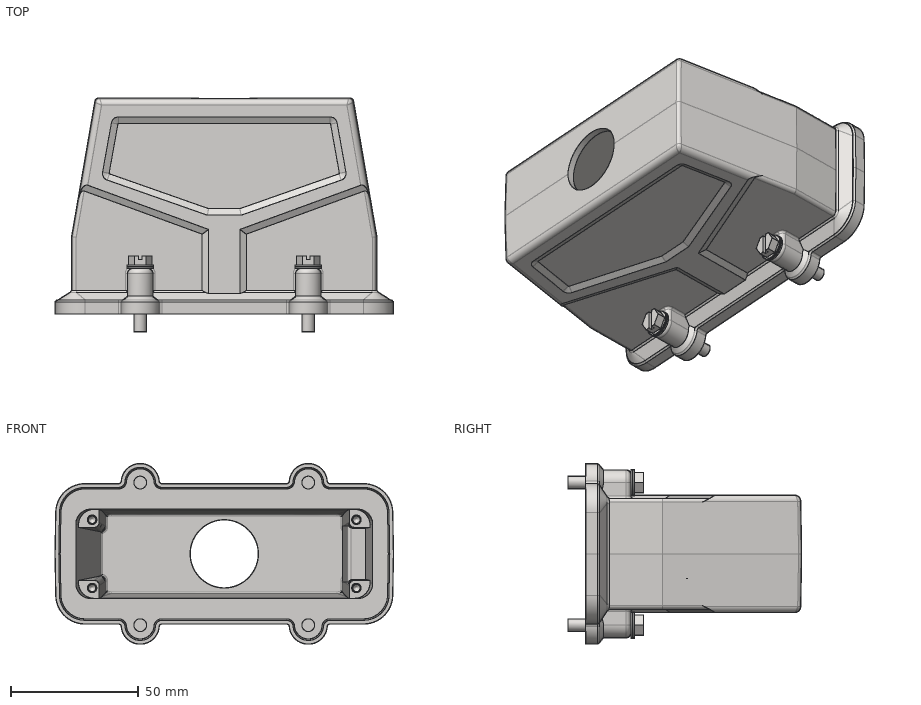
import cadquery as cq
import math


back_y = 84.9
draft = 1.0
base_half_x = 60.0
back_half_x = 50.6
bend_y = 30.3

panel_half_z = 23.1
relief_depth = 1.3
relief_half_z = panel_half_z - relief_depth
step_run = 2.6
step_taper = math.degrees(math.atan(step_run / relief_depth))
panel_edge_radius = 2.5
relief_edge_radius = 1.5
back_corner_radius = 1.5

chevron_angle = 20.1
leg_half_x = 6.1
leg_top_y = 33.2

pocket_top_y = 77.4
pocket_top_half_x = 43.9
pocket_side_y = 53.4
pocket_side_half_x = 48.2
pocket_bottom_half_x = 6.6
pocket_bottom_y = 38.8
pocket_corner_radius = 2.8

flange_half_x = 66.5
flange_half_z = 27.6
flange_corner_x = flange_half_x - flange_half_z * math.tan(math.radians(draft))
flange_radius = 11.5
flange_wall_y = 4.7
flange_edge_y = 5.5
flange_edge_inset = 0.6
skirt_top_y = 8.5
skirt_top_run = 0.6
skirt_top_radius = 2.5
fairing_top_y = 9.3
fairing_top_radius = 2.2

recess_depth = 3.0
lip_width = 1.5
recess_draft = 11.0

screw_x = 33.0
screw_z = 28.0
lug_radius = 7.5
neck_radius = 1.0
lug_cone_y = 7.0
boss_radius = 5.0
boss_foot_radius = 0.85
boss_top_y = 17.8
boss_edge_radius = 1.9

screw_diameter = 5.0
screw_tip_y = -7.0
washer_radius = 5.2
washer_top_y = 19.3
washer_gap_radius = 4.8
washer_thickness = 0.6
head_top_y = 22.8
head_across_flats = 8.0
slot_width = 1.3
slot_depth = 1.4

mouth_half_x = 58.3
mouth_half_z = 17.6
mouth_radius = 6.0
cavity_bend_y = 31.0
cavity_bend_half_z = 17.1
cavity_floor_y = 82.0
cavity_floor_half_x = 48.3
cavity_floor_half_z = 15.5
cavity_floor_radius = 4.0
cavity_floor_fillet = 0.6
cavity_bend_part = (cavity_bend_y - recess_depth) / (cavity_floor_y - recess_depth)
cavity_bend_half_x = mouth_half_x + cavity_bend_part * (cavity_floor_half_x - mouth_half_x)
cable_hole_diameter = 26.7

post_face_y = 11.5
post_face_x = 49.1
post_face_z = 10.4
post_root_x = 46.4
post_root_z = 8.6
post_outer_x = 62.0
post_outer_z = 20.0
post_radius = 2.0
post_hole_x = 51.9
post_hole_z = 13.4
post_hole_diameter = 2.9
post_hole_depth = 10.0
post_countersink = 0.4

pad_face_y = 26.0
pad_inner_x = 48.4
pad_half_z = 11.0
pad_edge_radius = 1.4

signs = (-1, 1)
screw_places = [(sx * screw_x, sz * screw_z) for sx in signs for sz in signs]
pick = 0.1


def xz_plane(y):
    """Plane at height y, local x along X, local y along Z; negative extrusions run toward +Y."""
    return cq.Workplane("XZ", origin=(0, y, 0))


def rounded_rect(half_x, half_z, radius, center=(0, 0), height=0):
    outline = cq.Sketch().rect(2 * half_x, 2 * half_z).vertices().fillet(radius)
    return outline.moved(cq.Location(cq.Vector(*center, height)))


def loft_rects(y0, first, y1, last):
    """Loft between two rounded rectangles, each given as (half x, half z, radius[, center])."""
    return xz_plane(y0).placeSketch(rounded_rect(*first), rounded_rect(*last, height=y0 - y1)).loft()


def rod(y0, y1, radius, center):
    return xz_plane(y0).center(*center).circle(radius).extrude(y0 - y1)


def hood_half(half_z, edge_radius):
    """Upper half of the drafted hood, with its outline rounded at the +Z face."""
    half = (
        cq.Workplane("XY")
        .polyline([
            (-base_half_x, 0), (-base_half_x, bend_y), (-back_half_x, back_y),
            (back_half_x, back_y), (base_half_x, bend_y), (base_half_x, 0),
        ])
        .close()
        .extrude(half_z, taper=draft)
    )
    corners = cq.selectors.BoxSelector(
        (-base_half_x, back_y - 2, 0), (base_half_x, back_y + 2, half_z - 1)
    )
    half = half.edges(corners).edges("not(#Z)").fillet(back_corner_radius)
    return half.faces(">Z").edges().fillet(edge_radius)


def panel_mask():
    """Everything above the chevron edges plus the centre leg, with sloped sides."""
    far_x = 80.0
    far_y = 110.0
    mask_depth = 3.0
    far_chevron_y = leg_top_y + (far_x - leg_half_x) * math.tan(math.radians(chevron_angle))
    return (
        cq.Workplane("XY", origin=(0, 0, panel_half_z))
        .polyline([
            (-far_x, far_y), (-far_x, far_chevron_y), (-leg_half_x, leg_top_y), (-leg_half_x, 0),
            (leg_half_x, 0), (leg_half_x, leg_top_y), (far_x, far_chevron_y), (far_x, far_y),
        ])
        .close()
        .extrude(-mask_depth, taper=-step_taper)
    )


def panel_pocket():
    pocket = (
        cq.Sketch()
        .polygon([
            (-pocket_top_half_x, pocket_top_y), (pocket_top_half_x, pocket_top_y),
            (pocket_side_half_x, pocket_side_y), (pocket_bottom_half_x, pocket_bottom_y),
            (-pocket_bottom_half_x, pocket_bottom_y), (-pocket_side_half_x, pocket_side_y),
            (-pocket_top_half_x, pocket_top_y),
        ])
        .vertices("<X or >X or >Y")
        .fillet(pocket_corner_radius)
    )
    return (
        cq.Workplane("XY", origin=(0, 0, panel_half_z))
        .placeSketch(pocket)
        .extrude(-relief_depth, taper=step_taper)
    )


def hood():
    panel = hood_half(panel_half_z, panel_edge_radius).intersect(panel_mask())
    upper = hood_half(relief_half_z, relief_edge_radius).union(panel).cut(panel_pocket())
    return upper.union(upper.mirror("XY"))


def flange_plate():
    """Plate with drafted ends, rounded corners and four screw lugs blended into its long edges."""
    plate = (
        xz_plane(0)
        .polyline([
            (-flange_half_x, 0), (-flange_corner_x, flange_half_z), (flange_corner_x, flange_half_z),
            (flange_half_x, 0), (flange_corner_x, -flange_half_z), (-flange_corner_x, -flange_half_z),
        ])
        .close()
        .extrude(-flange_wall_y)
    )
    plate = plate.edges("|Y").edges(">Z or <Z").fillet(flange_radius)
    lugs = xz_plane(0).pushPoints(screw_places).circle(lug_radius).extrude(-flange_wall_y)
    plate = plate.union(lugs)
    neck_half_x = screw_x + lug_radius + pick
    for side in signs:
        edge_z = side * flange_half_z
        necks = cq.selectors.BoxSelector(
            (-neck_half_x, pick, edge_z - pick), (neck_half_x, flange_wall_y - pick, edge_z + pick)
        )
        plate = plate.edges(necks).fillet(neck_radius)
    return plate


def flange():
    """Plate with a bevelled edge and a sloped skirt that rises to the hood."""
    edge_taper = math.degrees(math.atan(flange_edge_inset / (flange_edge_y - flange_wall_y)))
    plate = flange_plate()
    upper_outline = plate.faces(">Y").wires().val()
    bevel = xz_plane(flange_wall_y).add(upper_outline).toPending()
    bevel = bevel.extrude(flange_wall_y - flange_edge_y, taper=edge_taper)
    skirt_base = (
        flange_corner_x - flange_edge_inset,
        flange_half_z - flange_edge_inset,
        flange_radius - flange_edge_inset,
    )
    skirt_top = (base_half_x + skirt_top_run, relief_half_z + skirt_top_run, skirt_top_radius)
    skirt = loft_rects(flange_edge_y, skirt_base, skirt_top_y, skirt_top)
    fairing_top = (base_half_x, relief_half_z, fairing_top_radius)
    fairing = loft_rects(skirt_top_y, skirt_top, fairing_top_y, fairing_top)
    return plate.union(bevel).union(skirt).union(fairing)


def gasket_recess():
    rim = flange_plate().faces("<Y").wires().val()
    lip_inside = xz_plane(0).add(rim).toPending().offset2D(-lip_width)
    return lip_inside.extrude(-recess_depth, taper=recess_draft)


def screw_boss(center):
    """Round boss with a flat-sided web back to the hood."""
    x, z = center
    root_z = math.copysign(panel_half_z - panel_edge_radius - relief_edge_radius, z)
    web = (
        xz_plane(flange_wall_y)
        .center(x, (z + root_z) / 2)
        .rect(2 * boss_radius, abs(z - root_z))
        .extrude(flange_wall_y - boss_top_y)
    )
    boss = rod(flange_wall_y, boss_top_y, boss_radius, center)
    return boss.union(web).faces(">Y").edges().fillet(boss_edge_radius)


def lug_cone(center):
    """Cone that spreads from a screw boss down to its lug."""
    return (
        xz_plane(flange_edge_y)
        .center(*center)
        .circle(lug_radius - flange_edge_inset)
        .workplane(offset=flange_edge_y - lug_cone_y)
        .circle(boss_radius)
        .loft()
    )


def shell_with_bosses():
    """Hood, flange and screw bosses, with the boss webs blended into the hood."""
    shell = hood()
    for center in screw_places:
        shell = shell.union(screw_boss(center))
    shell = shell.union(flange())
    reach = boss_radius + pick
    for x, z in screw_places:
        foot_z = math.copysign(relief_half_z, z)
        foot = cq.selectors.BoxSelector(
            (x - reach, fairing_top_y, foot_z - pick), (x + reach, boss_top_y + pick, foot_z + pick)
        )
        shell = shell.edges(foot).fillet(boss_foot_radius)
    for center in screw_places:
        shell = shell.union(lug_cone(center))
    return shell


def captive_screw(center):
    """Shank, two washers and a slotted hexagon head."""
    shank = rod(screw_tip_y, washer_top_y, screw_diameter / 2, center)
    seat = rod(boss_top_y, washer_top_y, washer_gap_radius, center)
    lower_washer = rod(boss_top_y, boss_top_y + washer_thickness, washer_radius, center)
    upper_washer = rod(washer_top_y - washer_thickness, washer_top_y, washer_radius, center)
    head_corners = head_across_flats / math.cos(math.pi / 6)
    head = xz_plane(washer_top_y).center(*center).polygon(6, head_corners).extrude(washer_top_y - head_top_y)
    slot = (
        xz_plane(head_top_y - slot_depth)
        .center(*center)
        .rect(slot_width, 2 * head_across_flats)
        .extrude(-slot_depth)
    )
    return shank.union(seat).union(lower_washer).union(upper_washer).union(head.cut(slot))


def post_hole(x, z):
    """Countersunk blind hole with a conical drill tip."""
    radius = post_hole_diameter / 2
    bottom = post_face_y + post_hole_depth
    profile = [
        (0, post_face_y), (radius + post_countersink, post_face_y), (radius, post_face_y + post_countersink),
        (radius, bottom), (0, bottom + radius),
    ]
    hole = cq.Workplane("XY").polyline(profile).close().revolve(360, (0, 0, 0), (0, 1, 0))
    return hole.translate((x, 0, z))


def corner_post(sx, sz):
    """Drafted post in one corner of the cavity, growing wider toward the floor."""
    face_size = ((post_outer_x - post_face_x) / 2, (post_outer_z - post_face_z) / 2, post_radius)
    root_size = ((post_outer_x - post_root_x) / 2, (post_outer_z - post_root_z) / 2, post_radius)
    face_center = (sx * (post_outer_x + post_face_x) / 2, sz * (post_outer_z + post_face_z) / 2)
    root_center = (sx * (post_outer_x + post_root_x) / 2, sz * (post_outer_z + post_root_z) / 2)
    post = loft_rects(post_face_y, (*face_size, face_center), cavity_floor_y, (*root_size, root_center))
    return post.cut(post_hole(sx * post_hole_x, sz * post_hole_z))


def end_pad():
    """Flat-faced pad between the two +X posts."""
    pad = (
        cq.Workplane("XY", origin=(0, 0, -pad_half_z))
        .polyline([
            (pad_inner_x, pad_face_y), (post_outer_x, pad_face_y),
            (post_outer_x, cavity_floor_y), (post_root_x, cavity_floor_y),
        ])
        .close()
        .extrude(2 * pad_half_z)
    )
    return pad.faces("<Y").edges("<X").fillet(pad_edge_radius)


def cavity():
    """Space inside the hood, with its floor edge rounded around the corner posts."""
    mouth_size = (mouth_half_x, mouth_half_z, mouth_radius)
    bend_size = (cavity_bend_half_x, cavity_bend_half_z, mouth_radius)
    floor_size = (cavity_floor_half_x, cavity_floor_half_z, cavity_floor_radius)
    front = loft_rects(recess_depth, mouth_size, cavity_bend_y, bend_size)
    room = front.union(loft_rects(cavity_bend_y, bend_size, cavity_floor_y, floor_size))
    for sx in signs:
        for sz in signs:
            room = room.cut(corner_post(sx, sz))
    room = room.faces(">Y").edges().fillet(cavity_floor_fillet)
    return room.cut(end_pad())


def cable_hole():
    return rod(cavity_floor_y - 1, back_y + 1, cable_hole_diameter / 2, (0, 0))


def build():
    part = shell_with_bosses().cut(gasket_recess()).cut(cavity()).cut(cable_hole())
    for center in screw_places:
        part = part.union(captive_screw(center))
    return part


result = build()